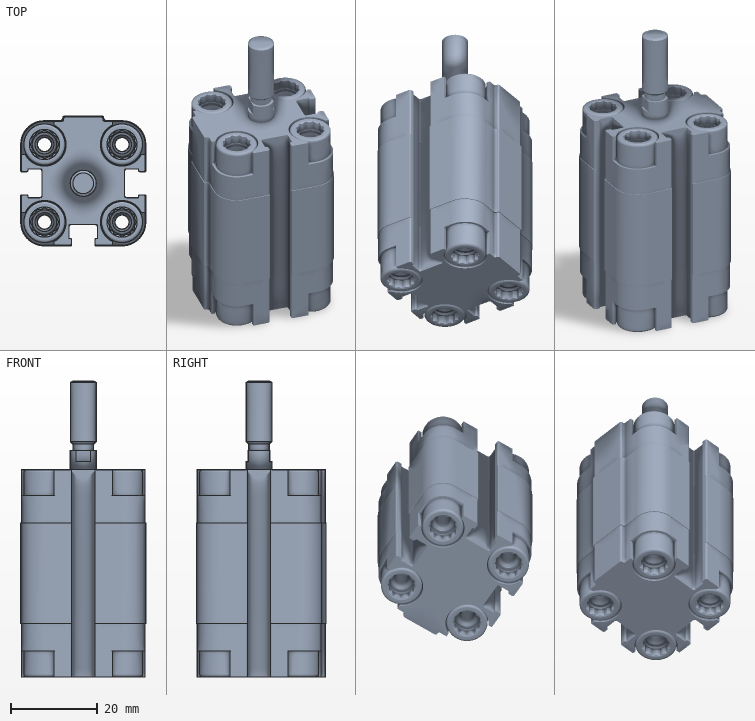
import cadquery as cq
import math

BODY_WIDTH = 29.0
BODY_DEPTH = 30.0
BODY_HEIGHT = 48.0
CAP_HEIGHT = 12.4
CAP_STEP = 0.17
MIDDLE_HEIGHT = BODY_HEIGHT - 2 * CAP_HEIGHT
MIDDLE_HALF = BODY_WIDTH / 2
RIB_TOP = BODY_DEPTH - MIDDLE_HALF

SLOT_OPENING = 5.35
SLOT_WIDTH = 6.6
SLOT_FLOOR = 9.6
LIP_INNER = 12.75
LIP_INNER_RADIUS = 0.4

RIB_HALF = 4.7
MIDDLE_FOOT_RADIUS = 0.7
CAP_FOOT_RADIUS = 0.5

MIDDLE_EDGE_RADIUS = 0.24
CAP_EDGE_RADIUS = 0.445

POST_OFFSET = 9.0
POST_RADIUS = 9.5 / 2
POST_ROUND = 0.6
POCKET_RADIUS = 5.0
POCKET_DEPTH = 6.0
NOTCH_INNER = 6.7

SOCKET_POINTS = 12
SOCKET_INNER_RADIUS = 6.0 / 2
SOCKET_OUTER_RADIUS = SOCKET_INNER_RADIUS * math.cos(math.pi / 12) / math.cos(math.pi / 6)
SOCKET_DEPTH = 2.2
LEAD_IN_RADIUS = 3.5
LEAD_IN_DEPTH = 0.2
BORE_RADIUS = 5.7 / 2
BORE_DEPTH = 2.9
CONE_RADIUS = 4.4 / 2
CONE_DEPTH = 0.8
HOLE_RADIUS = 3.2 / 2

ROD_TOP = 68.5
ROD_RADIUS = 6.0 / 2
NECK_RADIUS = 4.8 / 2
SHOULDER_Z = 52.5
NECK_TOP_Z = 53.9
TIP_CHAMFER_HEIGHT = 0.35
FLAT_BOTTOM_Z = 49.9
ACROSS_FLATS = 5.0


def quarter_arc(outline, center, radius, start_degrees, turn):
    """Continue the outline with a 90 degree arc; turn is +1 for counter-clockwise, -1 for clockwise."""
    points = []
    for step in (45, 90):
        angle = math.radians(start_degrees + turn * step)
        points.append((center[0] + radius * math.cos(angle), center[1] + radius * math.sin(angle)))
    return outline.threePointArc(*points)


def t_slot(face, radius, height):
    """T-slot open toward -Y, with rounded floor corners and rounded lips."""
    half_width = SLOT_WIDTH / 2
    half_opening = SLOT_OPENING / 2
    half = (
        cq.Workplane("XY")
        .moveTo(0, -SLOT_FLOOR)
        .lineTo(half_width - radius, -SLOT_FLOOR)
    )
    half = quarter_arc(half, (half_width - radius, -SLOT_FLOOR - radius), radius, 90, -1)
    half = half.lineTo(half_width, -LIP_INNER).lineTo(half_opening + LIP_INNER_RADIUS, -LIP_INNER)
    lip_center = (half_opening + LIP_INNER_RADIUS, -LIP_INNER - LIP_INNER_RADIUS)
    half = quarter_arc(half, lip_center, LIP_INNER_RADIUS, 90, 1)
    half = half.lineTo(half_opening, -face + radius)
    half = quarter_arc(half, (half_opening + radius, -face + radius), radius, 180, 1)
    half = half.lineTo(0, -face).close().extrude(height)
    return half.union(half.mirror("YZ"))


def rib(face, top, half_width, radius, foot, height):
    """Rib on the +Y face, with rounded top edges and concave feet."""
    half = (
        cq.Workplane("XY")
        .lineTo(half_width + foot, 0)
        .lineTo(half_width + foot, face)
    )
    half = quarter_arc(half, (half_width + foot, face + foot), foot, 270, -1)
    half = half.lineTo(half_width, top - radius)
    half = quarter_arc(half, (half_width - radius, top - radius), radius, 0, 1)
    half = half.lineTo(0, top).close().extrude(height)
    return half.union(half.mirror("YZ"))


def section(inset, radius, foot, height):
    """One length of the housing profile, standing on Z = 0."""
    face = MIDDLE_HALF - inset
    block = (
        cq.Workplane("XY")
        .rect(2 * face, 2 * face)
        .extrude(height)
        .edges("|Z")
        .fillet(face - POST_OFFSET)
    )
    block = block.union(rib(face, RIB_TOP - inset, RIB_HALF - inset, radius, foot, height))
    slot = t_slot(face, radius, height)
    for angle in (-90, 0, 90):
        block = block.cut(slot.rotate((0, 0, 0), (0, 0, 1), angle))
    return block


def post_clearance():
    """Material removed around one post: a round pocket and the open corner beyond it."""
    floor = BODY_HEIGHT - POCKET_DEPTH
    corner_size = MIDDLE_HALF - NOTCH_INNER
    pocket = (
        cq.Workplane("XY", origin=(POST_OFFSET, POST_OFFSET, floor))
        .circle(POCKET_RADIUS)
        .extrude(POCKET_DEPTH)
    )
    corner = (
        cq.Workplane("XY", origin=(NOTCH_INNER, NOTCH_INNER, floor))
        .rect(corner_size, corner_size, centered=False)
        .extrude(POCKET_DEPTH)
    )
    post = (
        cq.Workplane("XY", origin=(POST_OFFSET, POST_OFFSET, floor))
        .circle(POST_RADIUS)
        .extrude(POCKET_DEPTH)
        .faces(">Z")
        .edges()
        .fillet(POST_ROUND)
    )
    return pocket.union(corner).cut(post)


def post_socket():
    """Twelve-point socket, lead-in, plain bore and countersunk hole down to mid-height."""
    star_points = []
    for i in range(2 * SOCKET_POINTS):
        radius = SOCKET_OUTER_RADIUS if i % 2 == 0 else SOCKET_INNER_RADIUS
        angle = i * math.pi / SOCKET_POINTS
        star_points.append((radius * math.cos(angle), radius * math.sin(angle)))
    star = (
        cq.Workplane("XY", origin=(0, 0, -SOCKET_DEPTH))
        .polyline(star_points)
        .close()
        .extrude(SOCKET_DEPTH)
    )
    bore = (
        cq.Workplane("XZ")
        .polyline([
            (0, 0),
            (LEAD_IN_RADIUS, 0),
            (SOCKET_INNER_RADIUS, -LEAD_IN_DEPTH),
            (BORE_RADIUS, -LEAD_IN_DEPTH),
            (BORE_RADIUS, -BORE_DEPTH),
            (CONE_RADIUS, -BORE_DEPTH),
            (HOLE_RADIUS, -BORE_DEPTH - CONE_DEPTH),
            (HOLE_RADIUS, -BODY_HEIGHT / 2),
            (0, -BODY_HEIGHT / 2),
        ])
        .close()
        .revolve(360, (0, 0), (0, 1))
    )
    return star.union(bore).translate((POST_OFFSET, POST_OFFSET, BODY_HEIGHT))


def make_housing():
    cap = section(CAP_STEP, CAP_EDGE_RADIUS, CAP_FOOT_RADIUS, CAP_HEIGHT)
    middle = section(0, MIDDLE_EDGE_RADIUS, MIDDLE_FOOT_RADIUS, MIDDLE_HEIGHT)
    body = (
        cap
        .union(middle.translate((0, 0, CAP_HEIGHT)))
        .union(cap.translate((0, 0, BODY_HEIGHT - CAP_HEIGHT)))
    )
    top_cut = post_clearance().union(post_socket())
    bottom_cut = top_cut.mirror("XY").translate((0, 0, BODY_HEIGHT))
    for angle in (0, 90, 180, 270):
        for cutter in (top_cut, bottom_cut):
            body = body.cut(cutter.rotate((0, 0, 0), (0, 0, 1), angle))
    return body


def make_rod():
    """Turned rod standing on the housing, with two wrench flats below the neck."""
    neck_chamfer = ROD_RADIUS - NECK_RADIUS
    rod = (
        cq.Workplane("XZ")
        .polyline([
            (0, BODY_HEIGHT),
            (ROD_RADIUS, BODY_HEIGHT),
            (ROD_RADIUS, SHOULDER_Z),
            (NECK_RADIUS, SHOULDER_Z),
            (NECK_RADIUS, NECK_TOP_Z),
            (ROD_RADIUS, NECK_TOP_Z + neck_chamfer),
            (ROD_RADIUS, ROD_TOP - TIP_CHAMFER_HEIGHT),
            (NECK_RADIUS, ROD_TOP),
            (0, ROD_TOP),
        ])
        .close()
        .revolve(360, (0, 0), (0, 1))
    )
    flat_height = SHOULDER_Z - FLAT_BOTTOM_Z
    flat_cut = (
        cq.Workplane("XY", origin=(0, 0, FLAT_BOTTOM_Z))
        .rect(2 * ROD_RADIUS, 2 * ROD_RADIUS)
        .rect(2 * ROD_RADIUS, ACROSS_FLATS)
        .extrude(flat_height)
    )
    return rod.cut(flat_cut)


housing = make_housing()
rod = make_rod()
result = cq.Compound.makeCompound([housing.val(), rod.val()])